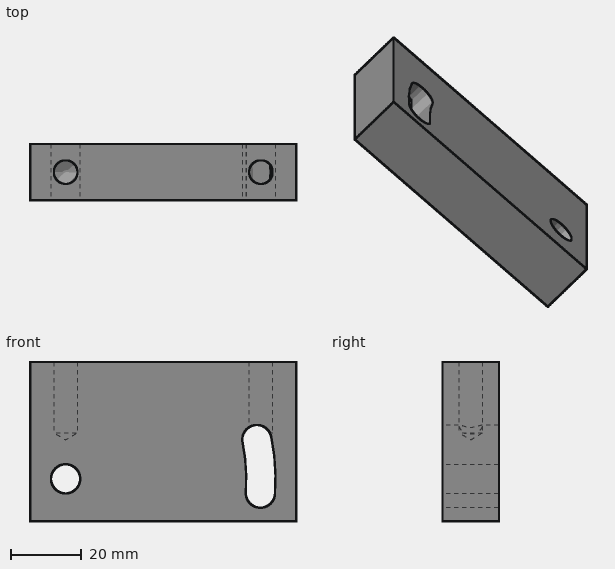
import cadquery as cq
import math

length = 75.0
thickness = 16.0
height = 45.0

pivot_x = 10.0
pivot_z = 12.0
pivot_diameter = 8.2

slot_radius = 55.05
slot_width = pivot_diameter
slot_start_angle = -4.2
slot_end_angle = 11.6

drill_diameter = 6.7
drill_depth = 20.0
drill_tip_angle = 118.0
drill_positions = (pivot_x, length - pivot_x)


def pivot_polar(radius, angle):
    """Point in the XZ plane at a radius and angle (degrees) about the pivot."""
    turn = math.radians(angle)
    return (pivot_x + radius * math.cos(turn), pivot_z + radius * math.sin(turn))


def front_plane():
    """XZ plane on the front face; negative extrusion goes into the block."""
    return cq.Workplane("XZ")


def make_pivot_hole():
    return front_plane().center(pivot_x, pivot_z).circle(pivot_diameter / 2).extrude(-thickness)


def make_slot():
    inner = slot_radius - slot_width / 2
    outer = slot_radius + slot_width / 2
    middle_angle = (slot_start_angle + slot_end_angle) / 2
    tip_radius = math.hypot(slot_radius, slot_width / 2)
    end_cap = math.degrees(math.atan2(slot_width / 2, slot_radius))
    upper_tip = pivot_polar(tip_radius, slot_end_angle + end_cap)
    lower_tip = pivot_polar(tip_radius, slot_start_angle - end_cap)
    return (
        front_plane()
        .moveTo(*pivot_polar(inner, slot_start_angle))
        .threePointArc(pivot_polar(inner, middle_angle), pivot_polar(inner, slot_end_angle))
        .threePointArc(upper_tip, pivot_polar(outer, slot_end_angle))
        .threePointArc(pivot_polar(outer, middle_angle), pivot_polar(outer, slot_start_angle))
        .threePointArc(lower_tip, pivot_polar(inner, slot_start_angle))
        .close()
        .extrude(-thickness)
    )


def make_drilled_hole(x):
    """Blind hole from the top face with a conical bottom."""
    radius = drill_diameter / 2
    shoulder_z = height - drill_depth
    tip_z = shoulder_z - radius / math.tan(math.radians(drill_tip_angle / 2))
    return (
        cq.Workplane("XZ")
        .moveTo(0, height)
        .lineTo(radius, height)
        .lineTo(radius, shoulder_z)
        .lineTo(0, tip_z)
        .close()
        .revolve(360, (0, 0), (0, 1))
        .translate((x, thickness / 2, 0))
    )


result = cq.Workplane("XY").box(length, thickness, height, centered=False)
result = result.cut(make_pivot_hole()).cut(make_slot())
for drill_x in drill_positions:
    result = result.cut(make_drilled_hole(drill_x))